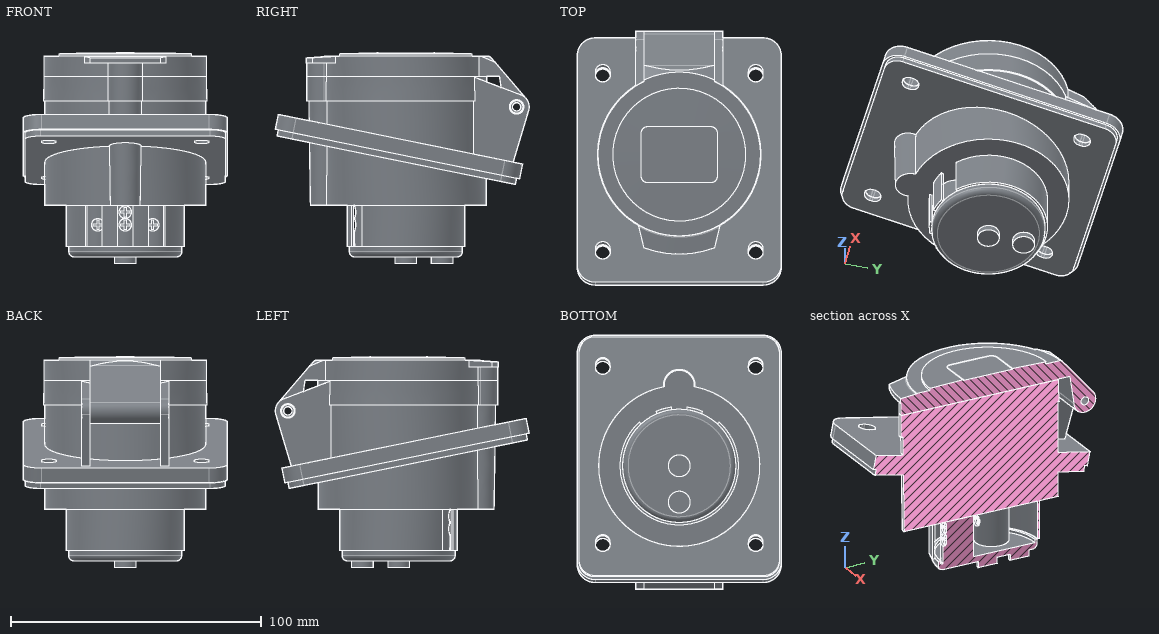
import cadquery as cq
import math


BARREL_R = 32.1
COLLAR_BOTTOM = 41.7
COLLAR_TOP = 51.5
COLLAR_BOTTOM_R = 32.6
COLLAR_TOP_R = 32.4

SKIRT_R = 23.6
SKIRT_BORE_R = 22.6
SKIRT_DEPTH = 16.4
MID_SLOT_WIDTH = 6.3
SIDE_SLOT_START = 23.2
SIDE_SLOT_END = 42.4

BOSS_HEAD_Y = -32.6
BOSS_SHANK_Y = -32.1
BOSS_FOOT_R = 6.0
BOSS_NECK_R = 6.6
BOSS_HEAD_R = 6.9

FLANGE_TILT = 11.5
FLANGE_CENTER = (0, -2.1, 26.5)
FLANGE_WIDTH = 81.5
FLANGE_LENGTH = 99.6
FLANGE_THICKNESS = 6.1
FLANGE_CORNER_R = 7.3
SEAT_INSET = 0.8
SEAT_END_INSET = 1.2
SEAT_THICKNESS = 2.5
SEAT_CORNER_R = 6.1
SLOT_WIDTH = 6.0
SLOT_LENGTH = 7.0
SEAT_SLOT_REDUCTION = 0.2
SLOT_SPACING_X = 61.0
SLOT_SPACING_Y = 72.1
SLOT_SHIFT = -0.7

PIVOT_Y = 44.2
PIVOT_Z = 39.3
KNUCKLE_R = 5.1
ARM_HALF_WIDTH = 14.1
EAR_OUTER_X = 17.4
EAR_BORE_D = 5.8
TRUNNION_D = 5.0
PIN_HOLE_D = 3.2
EAR_TOP_SLOPE = 20.9
EAR_BACK_LEAN = 16.7
EAR_FRONT_Y = 26.9
EAR_FOOT_Z = 14.2

LID_R = COLLAR_TOP_R
LID_TOP = 59.6
CROWN_R = 39.7
CROWN_INNER_R = 32.9
TAB_EDGE_Z = 58.9
ARM_EDGE_Z = 56.5
TAB_BOTTOM = 56.8
TAB_STEP = 0.2
TAB_ROOT_HALF_WIDTH = 16.3
TAB_ROOT_Y = -28.1
TAB_TIP_HALF_WIDTH = ARM_HALF_WIDTH
DISC_R = 53.0 / 2
DISC_EDGE_Z = 60.5
DOME_TOP = 61.0
LABEL_WIDTH = 30.4
LABEL_HEIGHT = 22.3
LABEL_CORNER_R = 2.5
LABEL_FLOOR = 60.6
ARM_SLOPE = 49.5
ARM_BREAK_Y = 35.5
ARM_TOP_Y = 33.4
ARM_HEEL_Y = 37.3

BASE_TOP = -16.3
BASE_BOTTOM = -20.6
BASE_FILLET = 2.2
PIT_R = 21.4
PIT_FLOOR = -17.7
STUD_D = 8.7
STUD_BOTTOM = -23.2
STUD_YS = (0, 14.5)
TERMINAL_R = 7.1
TERMINAL_CIRCLE_R = 13.4
SCREW_D = 5.0
SCREW_SINK = 1.0
CROSS_LENGTH = 3.9
CROSS_WIDTH = 0.8
CROSS_DEPTH = 0.6
UPPER_SCREW_Z = -2.6
LOWER_SCREW_Z = -7.7
TERMINAL_SCREWS = {
    -90: (UPPER_SCREW_Z, LOWER_SCREW_Z),
    35: (LOWER_SCREW_Z,),
    145: (LOWER_SCREW_Z,),
}


def cylinder(radius, bottom, top, x=0, y=0):
    """Vertical cylinder between two heights."""
    return cq.Workplane("XY", origin=(x, y, bottom)).circle(radius).extrude(top - bottom)


def cone(bottom_r, top_r, bottom, top, y=0):
    """Vertical frustum between two heights."""
    return cq.Workplane(cq.Solid.makeCone(bottom_r, top_r, top - bottom, cq.Vector(0, y, bottom)))


def side_prism(points, x_start, x_end):
    """Prism along X from a (y, z) outline."""
    return cq.Workplane("YZ", origin=(x_start, 0, 0)).polyline(points).close().extrude(x_end - x_start)


def boss_head(bottom, top):
    """Round-nosed latch boss with straight sides that run back to the socket axis."""
    back = (
        cq.Workplane("XY", origin=(0, BOSS_HEAD_Y / 2, bottom))
        .rect(2 * BOSS_HEAD_R, -BOSS_HEAD_Y)
        .extrude(top - bottom)
    )
    return cylinder(BOSS_HEAD_R, bottom, top, y=BOSS_HEAD_Y).union(back)


def pivot_cylinder(diameter, x_start, x_end):
    """Cylinder along X on the hinge axis."""
    plane = cq.Workplane("YZ", origin=(x_start, PIVOT_Y, PIVOT_Z))
    return plane.circle(diameter / 2).extrude(x_end - x_start)


def knuckle_tangent(degrees):
    """Point (y, z) of the knuckle circle whose outward normal is this far above +Y."""
    angle = math.radians(degrees)
    return PIVOT_Y + KNUCKLE_R * math.cos(angle), PIVOT_Z + KNUCKLE_R * math.sin(angle)


def make_plate(plane, depth, width, length, thickness, corner_r, slot_reduction):
    """One flange layer, starting at a depth below the plane, with its four slots."""
    layer = cq.Workplane(plane).workplane(offset=-depth)
    plate = (
        layer.rect(width, length)
        .extrude(-thickness)
        .edges(cq.selectors.ParallelDirSelector(plane.zDir))
        .fillet(corner_r)
    )
    slots = (
        layer.center(0, SLOT_SHIFT)
        .rarray(SLOT_SPACING_X, SLOT_SPACING_Y, 2, 2)
        .slot2D(SLOT_LENGTH - slot_reduction, SLOT_WIDTH - slot_reduction, 90)
        .extrude(-thickness)
    )
    return plate.cut(slots)


def make_flange():
    tilt = math.radians(FLANGE_TILT)
    plane = cq.Plane(origin=FLANGE_CENTER, xDir=(1, 0, 0), normal=(0, math.sin(tilt), math.cos(tilt)))
    plate = make_plate(plane, 0, FLANGE_WIDTH, FLANGE_LENGTH, FLANGE_THICKNESS, FLANGE_CORNER_R, 0)
    seat_width = FLANGE_WIDTH - 2 * SEAT_INSET
    seat_length = FLANGE_LENGTH - 2 * SEAT_END_INSET
    seat = make_plate(
        plane,
        FLANGE_THICKNESS,
        seat_width,
        seat_length,
        SEAT_THICKNESS,
        SEAT_CORNER_R,
        SEAT_SLOT_REDUCTION,
    )
    return plate.union(seat)


def make_ear(x_start):
    x_end = x_start + EAR_OUTER_X - ARM_HALF_WIDTH
    top_y, top_z = knuckle_tangent(90 - EAR_TOP_SLOPE)
    back_y, back_z = knuckle_tangent(-EAR_BACK_LEAN)
    front_z = top_z + (top_y - EAR_FRONT_Y) * math.tan(math.radians(EAR_TOP_SLOPE))
    foot_y = back_y - (back_z - EAR_FOOT_Z) * math.tan(math.radians(EAR_BACK_LEAN))
    outline = [
        (EAR_FRONT_Y, EAR_FOOT_Z),
        (foot_y, EAR_FOOT_Z),
        (back_y, back_z),
        (PIVOT_Y, PIVOT_Z),
        (top_y, top_z),
        (EAR_FRONT_Y, front_z),
    ]
    ear = side_prism(outline, x_start, x_end).union(pivot_cylinder(2 * KNUCKLE_R, x_start, x_end))
    return ear.cut(pivot_cylinder(EAR_BORE_D, x_start, x_end))


def slot_wedge(start, end):
    """Radial sector between two angles from -Y, reaching past the skirt."""
    reach = 2 * SKIRT_R
    corners = [
        (reach * math.sin(math.radians(angle)), -reach * math.cos(math.radians(angle)))
        for angle in (start, end)
    ]
    return cq.Workplane("XY").polyline([(0, 0), *corners]).close().extrude(-SKIRT_DEPTH)


def make_skirt():
    skirt = cylinder(SKIRT_R, -SKIRT_DEPTH, 0).cut(cylinder(SKIRT_BORE_R, -SKIRT_DEPTH, 0))
    half = math.degrees(math.asin(MID_SLOT_WIDTH / 2 / SKIRT_R))
    side = (SIDE_SLOT_START, SIDE_SLOT_END)
    for start, end in ((-half, half), side, (-side[1], -side[0])):
        skirt = skirt.cut(slot_wedge(start, end))
    return skirt


def make_housing():
    housing = cylinder(BARREL_R, 0, COLLAR_BOTTOM)
    housing = housing.union(cone(COLLAR_BOTTOM_R, COLLAR_TOP_R, COLLAR_BOTTOM, COLLAR_TOP))
    housing = housing.union(cone(BOSS_FOOT_R, BOSS_NECK_R, 0, COLLAR_BOTTOM, BOSS_SHANK_Y))
    housing = housing.union(boss_head(COLLAR_BOTTOM, COLLAR_TOP))
    housing = housing.union(make_flange()).union(make_skirt())
    for x_start in (-EAR_OUTER_X, ARM_HALF_WIDTH):
        housing = housing.union(make_ear(x_start))
    return housing


def make_crown(bottom, top, edge_z):
    """Round block with a flat top that slopes down outside the lid rim."""
    outline = [
        (0, bottom),
        (CROWN_R, bottom),
        (CROWN_R, edge_z),
        (CROWN_INNER_R, top),
        (0, top),
    ]
    return cq.Workplane("XZ").polyline(outline).close().revolve(360, (0, 0, 0), (0, 1, 0))


def make_tab():
    outline = [
        (-TAB_ROOT_HALF_WIDTH, TAB_ROOT_Y),
        (-TAB_TIP_HALF_WIDTH, -math.sqrt(CROWN_R**2 - TAB_TIP_HALF_WIDTH**2)),
        (-TAB_TIP_HALF_WIDTH, -CROWN_R),
        (TAB_TIP_HALF_WIDTH, -CROWN_R),
        (TAB_TIP_HALF_WIDTH, -math.sqrt(CROWN_R**2 - TAB_TIP_HALF_WIDTH**2)),
        (TAB_ROOT_HALF_WIDTH, TAB_ROOT_Y),
    ]
    wedge = cq.Workplane("XY").polyline(outline).close().extrude(LID_TOP)
    return make_crown(TAB_BOTTOM, LID_TOP - TAB_STEP, TAB_EDGE_Z).intersect(wedge)


def make_arm():
    slope_y, slope_z = knuckle_tangent(90 - ARM_SLOPE)
    break_z = slope_z + (slope_y - ARM_BREAK_Y) * math.tan(math.radians(ARM_SLOPE))
    outline = [
        (0, COLLAR_TOP),
        (ARM_HEEL_Y, COLLAR_TOP),
        (PIVOT_Y - KNUCKLE_R, PIVOT_Z),
        (PIVOT_Y, PIVOT_Z),
        (slope_y, slope_z),
        (ARM_BREAK_Y, break_z),
        (ARM_TOP_Y, LID_TOP),
        (0, LID_TOP),
    ]
    strut = side_prism(outline, -ARM_HALF_WIDTH, ARM_HALF_WIDTH)
    crown = make_crown(COLLAR_TOP, LID_TOP, ARM_EDGE_Z)
    arm = strut.cut(cylinder(CROWN_R, COLLAR_TOP, LID_TOP).cut(crown))
    arm = arm.union(pivot_cylinder(2 * KNUCKLE_R, -ARM_HALF_WIDTH, ARM_HALF_WIDTH))
    return arm.union(pivot_cylinder(TRUNNION_D, -EAR_OUTER_X, EAR_OUTER_X))


def make_lid():
    lid = cylinder(LID_R, COLLAR_TOP, LID_TOP)
    sagitta = DOME_TOP - DISC_EDGE_Z
    dome_r = (DISC_R**2 + sagitta**2) / (2 * sagitta)
    ball = cq.Workplane("XY", origin=(0, 0, DOME_TOP - dome_r)).sphere(dome_r)
    lid = lid.union(cylinder(DISC_R, COLLAR_TOP, DOME_TOP).intersect(ball))
    lid = lid.union(boss_head(COLLAR_TOP, TAB_BOTTOM))
    lid = lid.union(make_tab()).union(make_arm())
    label = (
        cq.Workplane("XY", origin=(0, 0, LABEL_FLOOR))
        .rect(LABEL_WIDTH, LABEL_HEIGHT)
        .extrude(DOME_TOP - LABEL_FLOOR)
        .edges("|Z")
        .fillet(LABEL_CORNER_R)
    )
    return lid.cut(label).cut(pivot_cylinder(PIN_HOLE_D, -EAR_OUTER_X, EAR_OUTER_X))


def make_screw_recess(x, front_y, z):
    """Round recess in the terminal front, with the cross of the screw head in its floor."""
    recess = cq.Workplane("XZ", origin=(x, front_y, z)).circle(SCREW_D / 2).extrude(-SCREW_SINK)
    head = cq.Workplane("XZ", origin=(x, front_y + SCREW_SINK, z))
    for length, height in ((CROSS_LENGTH, CROSS_WIDTH), (CROSS_WIDTH, CROSS_LENGTH)):
        recess = recess.union(head.rect(length, height).extrude(-CROSS_DEPTH))
    return recess


def make_insert():
    insert = cylinder(SKIRT_BORE_R, BASE_BOTTOM, BASE_TOP).faces("<Z").edges().fillet(BASE_FILLET)
    insert = insert.cut(cylinder(PIT_R, PIT_FLOOR, BASE_TOP))
    for y in STUD_YS:
        insert = insert.union(cylinder(STUD_D / 2, STUD_BOTTOM, BASE_BOTTOM, y=y))
    for angle, screw_heights in TERMINAL_SCREWS.items():
        x = TERMINAL_CIRCLE_R * math.cos(math.radians(angle))
        y = TERMINAL_CIRCLE_R * math.sin(math.radians(angle))
        insert = insert.union(cylinder(TERMINAL_R, PIT_FLOOR, 0, x, y))
        for z in screw_heights:
            insert = insert.cut(make_screw_recess(x, y - TERMINAL_R, z))
    return insert


housing = make_housing()
lid = make_lid()
insert = make_insert()
result = cq.Compound.makeCompound([housing.val(), lid.val(), insert.val()])